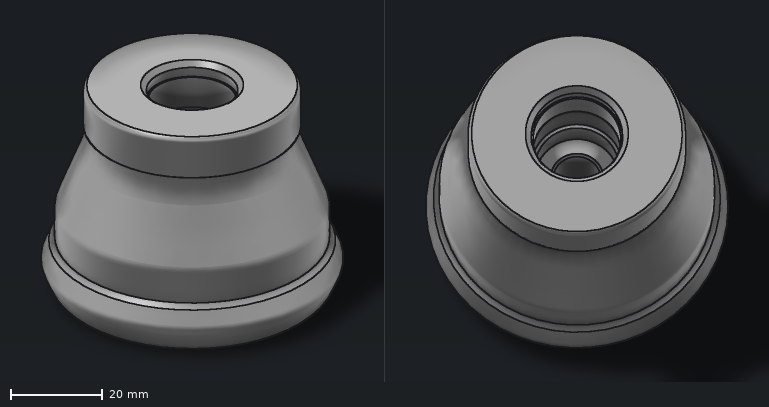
import cadquery as cq
import math

HEIGHT = 50.8
FOOT_RADIUS = 33.2

HEAD_RADIUS = 23.9
HEAD_ROUND_DEPTH = 1.3
HEAD_ROUND_WIDTH = 0.8
HEAD_LENGTH = 9.9
NECK_RADIUS = 23.65
NECK_STEP = 0.2
FLARE_ARC_END_Z = 34.4
FLARE_ARC_END_RADIUS = 24.85
FLARE_END_Z = 21.6
FLARE_END_RADIUS = 29.9
BARREL_RADIUS = 30.25
BARREL_TOP_Z = 19.9
SEAT_Z = 6.65

MOUTH_RADIUS = 11.3
MOUTH_CHAMFER = 1.25
BORE_RADIUS = MOUTH_RADIUS - MOUTH_CHAMFER
LAND_RADIUS = 9.65
LAND_TOP_DEPTH = 3.5
LAND_BOTTOM_DEPTH = 11.0
LAND_TAPER_LENGTH = 1.2
LEDGE_DEPTH = 19.95
POCKET_RADIUS = 9.2
POCKET_DEPTH = 26.6

HOLE_RADIUS = 5.25
HOLE_CHAMFER = 0.5

FOOT_TOP_Z = 12.8
LIP_RADIUS = 31.5
LIP_Z = 11.75
SHOULDER_RADIUS = 31.95
SHOULDER_Z = 10.7
BULGE_TOP_RADIUS = 32.95
BULGE_TOP_Z = 8.45
BULGE_BOTTOM_RADIUS = 32.95
BULGE_BOTTOM_Z = 6.0
TREAD_RADIUS = 31.55
TREAD_Z = 2.7
TREAD_MID_RADIUS = 30.25
TREAD_MID_Z = 1.25
SOLE_RADIUS = 26.1
SOLE_ANGLE = math.radians(13)


def revolve_about_z(profile):
    """Turn a closed (radius, height) outline on the XZ plane into a solid of revolution."""
    return profile.close().revolve(360, (0, 0, 0), (0, 1, 0))


def arc_midpoint(start, end, tangent):
    """Middle point of the arc from start to end that leaves start along the tangent."""
    chord_r = end[0] - start[0]
    chord_z = end[1] - start[1]
    chord_angle = math.atan2(chord_z, chord_r)
    half_sweep = chord_angle - math.atan2(tangent[1], tangent[0])
    sagitta = math.hypot(chord_r, chord_z) / 2 * math.tan(half_sweep / 2)
    return (
        (start[0] + end[0]) / 2 + sagitta * math.sin(chord_angle),
        (start[1] + end[1]) / 2 - sagitta * math.cos(chord_angle),
    )


def make_housing():
    head_bottom = HEIGHT - HEAD_LENGTH
    land_bottom = HEIGHT - LAND_BOTTOM_DEPTH
    pocket_floor = HEIGHT - POCKET_DEPTH
    neck_top = head_bottom - NECK_STEP
    round_start = (HEAD_RADIUS, HEIGHT - HEAD_ROUND_DEPTH)
    round_end = (HEAD_RADIUS - HEAD_ROUND_WIDTH, HEIGHT)
    barrel_top = (BARREL_RADIUS, BARREL_TOP_Z)
    flare_end = (FLARE_END_RADIUS, FLARE_END_Z)
    neck_start = (NECK_RADIUS, neck_top)
    flare_arc_end = (FLARE_ARC_END_RADIUS, FLARE_ARC_END_Z)
    profile = (
        cq.Workplane("XZ")
        .moveTo(HOLE_RADIUS, SEAT_Z)
        .lineTo(BARREL_RADIUS, SEAT_Z)
        .lineTo(*barrel_top)
        .threePointArc(arc_midpoint(barrel_top, flare_end, (0, 1)), flare_end)
        .lineTo(*flare_arc_end)
        .threePointArc(arc_midpoint(neck_start, flare_arc_end, (0, -1)), neck_start)
        .lineTo(HEAD_RADIUS, head_bottom)
        .lineTo(*round_start)
        .threePointArc(arc_midpoint(round_start, round_end, (0, 1)), round_end)
        .lineTo(MOUTH_RADIUS, HEIGHT)
        .lineTo(BORE_RADIUS, HEIGHT - MOUTH_CHAMFER)
        .lineTo(BORE_RADIUS, HEIGHT - LAND_TOP_DEPTH)
        .lineTo(LAND_RADIUS, HEIGHT - LAND_TOP_DEPTH)
        .lineTo(LAND_RADIUS, land_bottom)
        .lineTo(BORE_RADIUS, land_bottom - LAND_TAPER_LENGTH)
        .lineTo(BORE_RADIUS, HEIGHT - LEDGE_DEPTH)
        .lineTo(POCKET_RADIUS, HEIGHT - LEDGE_DEPTH)
        .lineTo(POCKET_RADIUS, pocket_floor)
        .lineTo(HOLE_RADIUS + HOLE_CHAMFER, pocket_floor)
        .lineTo(HOLE_RADIUS, pocket_floor - HOLE_CHAMFER)
    )
    return revolve_about_z(profile)


def make_foot():
    tread_tangent = (TREAD_RADIUS - BULGE_BOTTOM_RADIUS, TREAD_Z - BULGE_BOTTOM_Z)
    sole_tangent = (-math.cos(SOLE_ANGLE), -math.sin(SOLE_ANGLE))
    profile = (
        cq.Workplane("XZ")
        .moveTo(HOLE_RADIUS, SEAT_Z)
        .lineTo(BARREL_RADIUS, SEAT_Z)
        .lineTo(BARREL_RADIUS, FOOT_TOP_Z)
        .lineTo(LIP_RADIUS, LIP_Z)
        .lineTo(SHOULDER_RADIUS, SHOULDER_Z)
        .lineTo(BULGE_TOP_RADIUS, BULGE_TOP_Z)
        .threePointArc(
            (FOOT_RADIUS, (BULGE_TOP_Z + BULGE_BOTTOM_Z) / 2),
            (BULGE_BOTTOM_RADIUS, BULGE_BOTTOM_Z),
        )
        .lineTo(TREAD_RADIUS, TREAD_Z)
        .spline(
            [(TREAD_MID_RADIUS, TREAD_MID_Z), (SOLE_RADIUS, 0)],
            tangents=[tread_tangent, sole_tangent],
            includeCurrent=True,
        )
        .lineTo(HOLE_RADIUS, 0)
    )
    return revolve_about_z(profile)


housing = make_housing()
foot = make_foot()

result = cq.Compound.makeCompound([housing.val(), foot.val()])